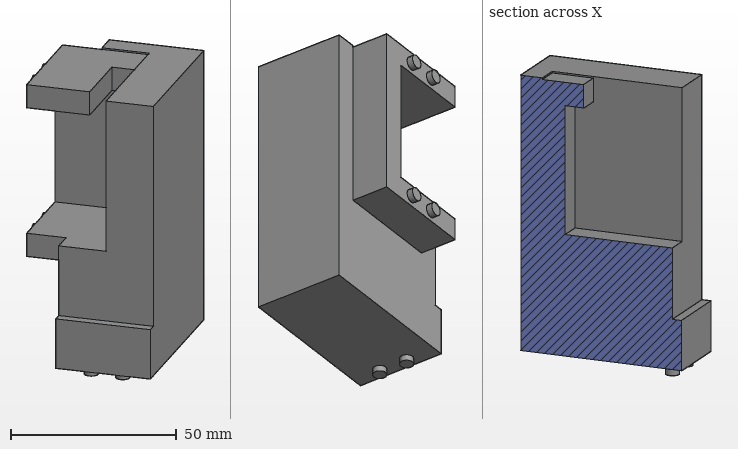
import cadquery as cq


body_depth = 30.0
body_width = 50.0
body_height = 87.0
foot_height = 16.0
foot_projection = 3.0

back_wall = 15.0
frame_overhang = 12.5
frame_width = 35.5
frame_height = 55.5
frame_wall = 7.5
top_recess = 0.5

notch_depth = 7.5
arm_root_width = 13.5

pin_diameter = 4.3
pin_length = 2.0
pin_spacing = 10.0
lower_pin_z = 34.5
bottom_pin_inset = 4.0

body_front_x = -body_depth
body_side_y = -body_width
foot_face_y = body_side_y - foot_projection
frame_front_x = body_front_x - frame_overhang
frame_back_x = -back_wall
frame_outer_y = -(body_width - frame_width) / 2
frame_inner_y = frame_outer_y - frame_width
web_inner_y = frame_outer_y - frame_wall
frame_top_z = body_height - top_recess
frame_bottom_z = frame_top_z - frame_height
window_bottom_z = frame_bottom_z + frame_wall
window_top_z = frame_top_z - frame_wall
upper_pin_z = lower_pin_z + frame_height - frame_wall


def box_between(x_range, y_range, z_range):
    """Axis-aligned box spanning the given (low, high) ranges."""
    x_low, x_high = x_range
    y_low, y_high = y_range
    z_low, z_high = z_range
    box = cq.Workplane("XY").box(x_high - x_low, y_high - y_low, z_high - z_low, centered=False)
    return box.translate((x_low, y_low, z_low))


def make_body():
    """Upright block with a foot along its -Y side and a recess open to the front, -Y and top."""
    block = box_between((body_front_x, 0), (body_side_y, 0), (0, body_height))
    foot = box_between((body_front_x, 0), (foot_face_y, 0), (0, foot_height))
    recess = box_between(
        (body_front_x, frame_back_x),
        (body_side_y, frame_outer_y),
        (window_bottom_z, body_height),
    )
    return block.union(foot).cut(recess)


def make_frame():
    """Side web with two arms, the upper one notched next to the back wall."""
    frame_x = (frame_front_x, frame_back_x)
    frame_y = (frame_inner_y, frame_outer_y)
    web = box_between(frame_x, (web_inner_y, frame_outer_y), (frame_bottom_z, frame_top_z))
    lower_arm = box_between(frame_x, frame_y, (frame_bottom_z, window_bottom_z))
    upper_arm = box_between(frame_x, frame_y, (window_top_z, frame_top_z))
    notch = box_between(
        (frame_back_x - notch_depth, frame_back_x),
        (frame_inner_y, frame_outer_y - arm_root_width),
        (window_top_z, frame_top_z),
    )
    return web.union(lower_arm).union(upper_arm.cut(notch))


def make_pin(base, direction):
    """Cylindrical pin standing on a face at base and pointing along direction."""
    pin = cq.Solid.makeCylinder(pin_diameter / 2, pin_length, cq.Vector(*base), cq.Vector(*direction))
    return cq.Workplane(obj=pin)


result = make_body().union(make_frame())

for offset in (-pin_spacing / 2, pin_spacing / 2):
    for pin_z in (lower_pin_z, upper_pin_z):
        arm_pin_base = (frame_front_x, body_side_y / 2 + offset, pin_z)
        result = result.union(make_pin(arm_pin_base, (-1, 0, 0)))
    foot_pin_base = (body_front_x / 2 + offset, foot_face_y + bottom_pin_inset, 0)
    result = result.union(make_pin(foot_pin_base, (0, 0, -1)))